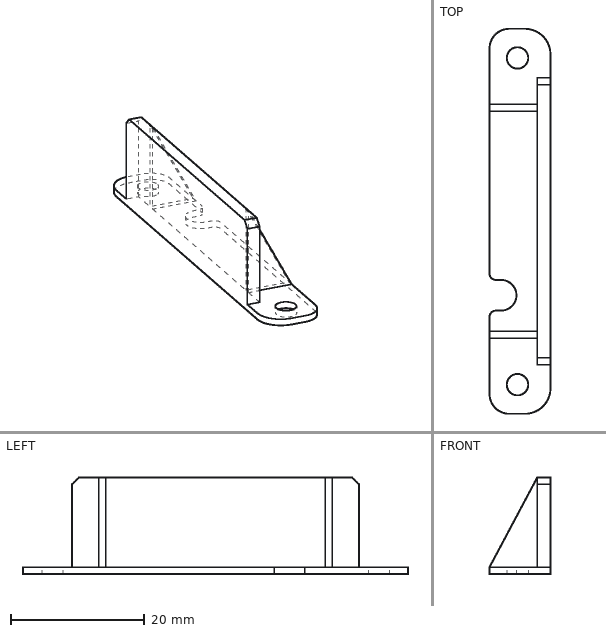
import cadquery as cq

plate_length = 57.75
plate_width = 9.2
plate_thickness = 1.05
front_corner_radius = 3.0
wall_corner_radius = 3.85

hole_diameter = 3.2
hole_x = 4.2
hole_end_distance = 4.4

notch_y = -11.1
notch_width = 4.55
notch_depth = 4.05
notch_mouth_radius = 1.0

total_height = 14.5
wall_length = 43.05
wall_thickness = 2.0
wall_chamfer = 1.05

rib_thickness = 1.05
rib_inset = 4.0

wall_x = plate_width - wall_thickness


def make_plate():
    plate = cq.Workplane("XY").box(
        plate_width, plate_length, plate_thickness, centered=(False, True, False)
    )
    plate = plate.edges("|Z and <X").fillet(front_corner_radius)
    plate = plate.edges("|Z and >X").fillet(wall_corner_radius)
    hole_y = plate_length / 2 - hole_end_distance
    holes = (
        cq.Workplane("XY")
        .pushPoints([(hole_x, -hole_y), (hole_x, hole_y)])
        .circle(hole_diameter / 2)
        .extrude(plate_thickness)
    )
    return plate.cut(holes).cut(make_notch())


def make_notch():
    """Slot with a semicircular end and a mouth flared by rounded corners."""
    half_width = notch_width / 2
    half_mouth = half_width + notch_mouth_radius
    arc_start_x = notch_depth - half_width
    radius = notch_mouth_radius
    return (
        cq.Workplane("XY")
        .moveTo(0, notch_y - half_mouth)
        .radiusArc((radius, notch_y - half_width), radius)
        .lineTo(arc_start_x, notch_y - half_width)
        .threePointArc((notch_depth, notch_y), (arc_start_x, notch_y + half_width))
        .lineTo(radius, notch_y + half_width)
        .radiusArc((0, notch_y + half_mouth), radius)
        .close()
        .extrude(plate_thickness)
    )


def make_wall():
    wall = cq.Workplane("XY").box(
        wall_thickness, wall_length, total_height, centered=(False, True, False)
    )
    wall = wall.edges("|X and >Z").chamfer(wall_chamfer)
    return wall.translate((wall_x, 0, 0))


def make_rib(center_y):
    """Rib sloping from the open plate edge to the top of the wall."""
    return (
        cq.Workplane("XZ", origin=(0, center_y, 0))
        .moveTo(0, plate_thickness)
        .lineTo(wall_x, plate_thickness)
        .lineTo(wall_x, total_height)
        .close()
        .extrude(rib_thickness / 2, both=True)
    )


rib_y = wall_length / 2 - rib_inset - rib_thickness / 2

result = make_plate().union(make_wall())
for center_y in (-rib_y, rib_y):
    result = result.union(make_rib(center_y))